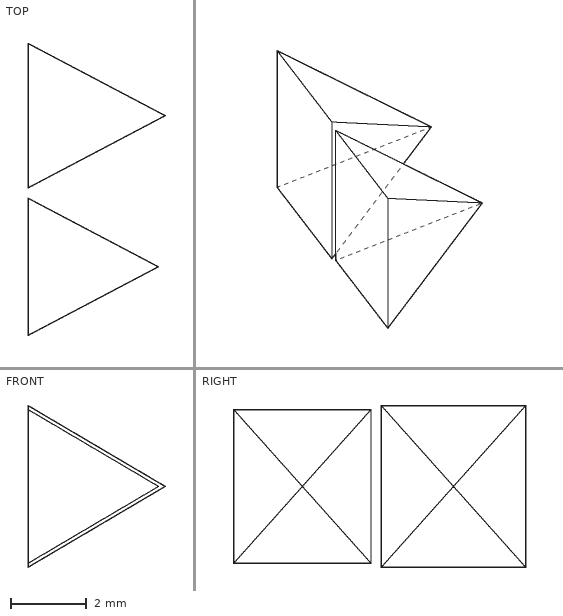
import cadquery as cq

LARGE_HEIGHT = 3.63
LARGE_BASE_Y = 3.82
LARGE_BASE_Z = 4.28
SMALL_RATIO = 0.95
TOTAL_WIDTH = 7.72

SMALL_HEIGHT = LARGE_HEIGHT * SMALL_RATIO
SMALL_BASE_Y = LARGE_BASE_Y * SMALL_RATIO
SMALL_BASE_Z = LARGE_BASE_Z * SMALL_RATIO

LARGE_CENTER_Y = (TOTAL_WIDTH - LARGE_BASE_Y) / 2
SMALL_CENTER_Y = -(TOTAL_WIDTH - SMALL_BASE_Y) / 2


def make_pyramid(height, base_y, base_z, center_y):
    """Solid pyramid with a rectangular base on X = 0 and its apex toward +X."""
    near_y = center_y - base_y / 2
    far_y = center_y + base_y / 2
    top_z = base_z / 2
    corners = [
        cq.Vector(0, near_y, -top_z),
        cq.Vector(0, far_y, -top_z),
        cq.Vector(0, far_y, top_z),
        cq.Vector(0, near_y, top_z),
    ]
    apex = cq.Vector(height, center_y, 0)

    outlines = [corners]
    for start, end in zip(corners, corners[1:] + corners[:1]):
        outlines.append([start, end, apex])

    faces = []
    for outline in outlines:
        wire = cq.Wire.makePolygon(outline, close=True)
        faces.append(cq.Face.makeFromWires(wire))
    return cq.Solid.makeSolid(cq.Shell.makeShell(faces))


large_pyramid = make_pyramid(LARGE_HEIGHT, LARGE_BASE_Y, LARGE_BASE_Z, LARGE_CENTER_Y)
small_pyramid = make_pyramid(SMALL_HEIGHT, SMALL_BASE_Y, SMALL_BASE_Z, SMALL_CENTER_Y)

result = cq.Compound.makeCompound([large_pyramid, small_pyramid])